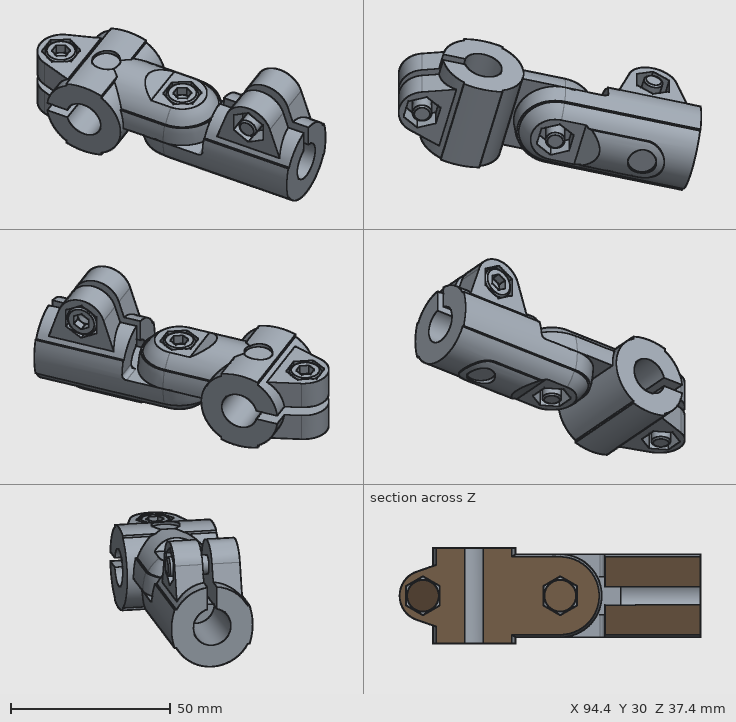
import cadquery as cq
import math


body_radius = 13.0
band_width = 12.5
cross_band_height = 13.2
arm_band_height = 13.0
band_radius = 20.0

bore_diameter = 12.0
clamp_length = 30.0
slit_width = 3.0
flat_height = 10.5
lug_screw_offset = 16.1
lug_tip_radius = 8.0
lug_root_half_width = 11.15
clamp_arm_lug_reach = 23.4
swivel_arm_lug_reach = 24.0

swivel_x = 27.0
swivel_clamp_start = 41.0
swivel_pad_offset = 28.1
tongue_end = 46.0
bar_clamp_x = swivel_clamp_start + clamp_length / 2
corner_radius = 1.5
seat_ramp_distance = 20.0
seat_ramp_angle = 25.5
pad_radius = 13.4
pad_width = 14.0
pad_base_height = 9.4
dimple_diameter = 9.0
dimple_floor = 12.0

shank_diameter = 6.0
head_diameter = 10.0
head_height = 6.0
head_chamfer = 0.6
socket_across_flats = 5.0
socket_depth = 3.0
drill_point_angle = 118
tip_protrusion = 0.9
tip_chamfer = 0.6
pocket_across_flats = 10.5

far = 56.7
hex_corner_ratio = 2 / math.sqrt(3)


def band_edge_height(band_height):
    """Distance from the bar axis to the edges of a band with the given crown height."""
    return band_height - band_radius + math.sqrt(band_radius**2 - (band_width / 2) ** 2)


def banded_bar(start, length, band_height=arm_band_height):
    """Solid bar along X from start, with raised bands on its +Y and -Y sides."""
    half = band_width / 2
    band_edge = band_edge_height(band_height)
    bar = cq.Workplane("YZ", origin=(start, 0, 0)).circle(body_radius).extrude(length)
    bands = (
        cq.Workplane("YZ", origin=(start, 0, 0))
        .moveTo(-band_edge, -half)
        .lineTo(band_edge, -half)
        .threePointArc((band_height, 0), (band_edge, half))
        .lineTo(-band_edge, half)
        .threePointArc((-band_height, 0), (-band_edge, -half))
        .close()
        .extrude(length)
    )
    return bar.union(bands)


def banded_end():
    """Round end about the Z axis: the bar's cross-section revolved."""
    half = band_width / 2
    band_edge = band_edge_height(arm_band_height)
    ball = cq.Workplane("XY").sphere(body_radius)
    band = (
        cq.Workplane("XZ")
        .moveTo(0, -half)
        .lineTo(band_edge, -half)
        .threePointArc((arm_band_height, 0), (band_edge, half))
        .lineTo(0, half)
        .close()
        .revolve(360, (0, 0, 0), (0, 1, 0))
    )
    return ball.union(band)


def screw_cutter():
    """Through hole along Z with a hexagonal pocket at each seat."""
    cutter = cq.Workplane("XY").circle(shank_diameter / 2).extrude(far, both=True)
    for side in (1, -1):
        pocket = (
            cq.Workplane("XY", origin=(0, 0, side * (flat_height - head_height)))
            .polygon(6, pocket_across_flats * hex_corner_ratio)
            .extrude(side * far)
            .rotate((0, 0, 0), (0, 0, 1), 30)
        )
        cutter = cutter.union(pocket)
    return cutter


def screw():
    """Socket-head screw along Z, its head flush with the upper seat."""
    tip_z = -flat_height - tip_protrusion
    head_base = flat_height - head_height
    shank = (
        cq.Workplane("XY", origin=(0, 0, tip_z))
        .circle(shank_diameter / 2)
        .extrude(head_base - tip_z)
        .faces("<Z")
        .chamfer(tip_chamfer)
    )
    head = (
        cq.Workplane("XY", origin=(0, 0, head_base))
        .circle(head_diameter / 2)
        .extrude(head_height)
        .faces(">Z")
        .chamfer(head_chamfer)
    )
    socket_floor = flat_height - socket_depth
    socket = (
        cq.Workplane("XY", origin=(0, 0, socket_floor))
        .polygon(6, socket_across_flats * hex_corner_ratio)
        .extrude(socket_depth)
        .rotate((0, 0, 0), (0, 0, 1), 30)
    )
    point_depth = socket_across_flats / 2 / math.tan(math.radians(drill_point_angle / 2))
    drill_point = cq.Workplane(
        cq.Solid.makeCone(
            socket_across_flats / 2, 0, point_depth, cq.Vector(0, 0, socket_floor), cq.Vector(0, 0, -1)
        )
    )
    return shank.union(head).cut(socket).cut(drill_point)


def lug(reach):
    """Clamping lug growing to +Z from the bar, flat on +Y and -Y, with tapered sides and a round tip."""
    tip_center = reach - lug_tip_radius
    root_z = math.sqrt(body_radius**2 - flat_height**2)
    rise = tip_center - root_z
    root_angle = math.atan2(lug_root_half_width, rise)
    tangent_angle = math.asin(lug_tip_radius / math.hypot(rise, lug_root_half_width))
    taper = root_angle - tangent_angle
    tangent_x = lug_tip_radius * math.cos(taper)
    tangent_z = tip_center + lug_tip_radius * math.sin(taper)
    base_half_width = lug_root_half_width + root_z * math.tan(taper)
    return (
        cq.Workplane("XZ")
        .moveTo(-base_half_width, 0)
        .lineTo(base_half_width, 0)
        .lineTo(tangent_x, tangent_z)
        .threePointArc((0, reach), (-tangent_x, tangent_z))
        .close()
        .extrude(flat_height, both=True)
    )


def clamp_body(lug_reach, band_height):
    """Clamp centred on the origin, bore along X and lug toward +Z, without its openings."""
    return banded_bar(-clamp_length / 2, clamp_length, band_height).union(lug(lug_reach))


def clamp_openings():
    """Bore and slit of a clamp in the same frame as clamp_body."""
    bore = cq.Workplane("YZ").circle(bore_diameter / 2).extrude(clamp_length / 2, both=True)
    slit = cq.Workplane("XY").box(clamp_length, slit_width, far, centered=(True, True, False))
    return bore.union(slit)


def neck(length):
    """Half-round neck above Z = 0, from the origin to a screw seat with a round end at X = length."""
    body = banded_bar(0, length).union(banded_end().translate((length, 0, 0)))
    upper_half = cq.Workplane("XY").box(2 * far, far, far, centered=(True, True, False))
    return body.intersect(upper_half)


def seat_cutter():
    """Space above a screw seat, with the ramp that climbs from it, for a dimple at the origin."""
    slope = math.tan(math.radians(seat_ramp_angle))
    return (
        cq.Workplane("XZ")
        .moveTo(far, flat_height)
        .lineTo(seat_ramp_distance, flat_height)
        .lineTo(seat_ramp_distance - far, flat_height + far * slope)
        .lineTo(far, flat_height + far * slope)
        .close()
        .extrude(far, both=True)
    )


def dimple():
    """Shallow round recess with a flat floor, at the origin."""
    return cq.Workplane("XY", origin=(0, 0, dimple_floor)).circle(dimple_diameter / 2).extrude(far)


cross_clamp_place = cq.Location(cq.Plane((0, 0, 0), xDir=(0, -1, 0), normal=(-1, 0, 0)))
bar_clamp_place = cq.Location(cq.Vector(bar_clamp_x, 0, 0))
cross_screw_place = cq.Location(cq.Vector(-lug_screw_offset, 0, 0))
swivel_screw_place = cq.Location(cq.Vector(swivel_x, 0, 0))
bar_screw_place = cq.Location(
    cq.Plane((bar_clamp_x, 0, lug_screw_offset), xDir=(1, 0, 0), normal=(0, 1, 0))
)
turned_neck_place = cq.Location(
    cq.Plane((swivel_x + swivel_pad_offset, 0, 0), xDir=(-1, 0, 0), normal=(0, 0, -1))
)


def placed(shape, place):
    """Copy of the shape moved from its own frame to the given place."""
    return cq.Workplane(shape.val().moved(place))


def make_clamp_arm():
    arm = placed(clamp_body(clamp_arm_lug_reach, cross_band_height), cross_clamp_place).union(neck(swivel_x))
    arm = arm.cut(seat_cutter()).cut(dimple())
    arm = arm.cut(placed(clamp_openings(), cross_clamp_place))
    return arm.cut(placed(screw_cutter(), cross_screw_place)).cut(placed(screw_cutter(), swivel_screw_place))


def pad():
    """Raised pad on the outside of the swivel arm, in the neck frame, with a round end at the origin."""
    base = cq.Workplane("XY", origin=(0, 0, pad_base_height))
    round_end = base.circle(pad_width / 2).extrude(far)
    straight = base.box(swivel_pad_offset, pad_width, far, centered=(False, True, False))
    outline = round_end.union(straight)
    return cq.Workplane("YZ").circle(pad_radius).extrude(far, both=True).intersect(outline)


def corner_fillet():
    """Concave fillet between the mating plane and the front wall of the swivel arm's clamp."""
    r = corner_radius
    return (
        cq.Workplane("XZ", origin=(swivel_clamp_start, 0, 0))
        .moveTo(0, 0)
        .lineTo(0, r)
        .radiusArc((-r, 0), r)
        .close()
        .extrude(far, both=True)
        .intersect(banded_bar(0, far))
    )


def make_swivel_arm():
    tongue_length = tongue_end - swivel_x
    clamp = placed(clamp_body(swivel_arm_lug_reach, arm_band_height), bar_clamp_place).union(corner_fillet())
    fillet_start = swivel_clamp_start - corner_radius
    run_out = (
        cq.Workplane("YZ", origin=(fillet_start, 0, 0)).circle(bore_diameter / 2).extrude(corner_radius)
    )
    clamp = clamp.union(placed(pad(), turned_neck_place))
    clamp = clamp.cut(placed(clamp_openings(), bar_clamp_place)).cut(run_out)
    tongue = neck(tongue_length).translate((swivel_pad_offset - tongue_length, 0, 0))
    arm = clamp.union(placed(tongue, turned_neck_place))
    arm = arm.cut(placed(seat_cutter(), turned_neck_place)).cut(placed(dimple(), turned_neck_place))
    return arm.cut(placed(screw_cutter(), bar_screw_place)).cut(placed(screw_cutter(), swivel_screw_place))


clamp_arm = make_clamp_arm()
swivel_arm = make_swivel_arm()
screw_places = [cross_screw_place, swivel_screw_place, bar_screw_place]
screws = [placed(screw(), place) for place in screw_places]

result = cq.Compound.makeCompound(
    [clamp_arm.val(), swivel_arm.val(), *[body.val() for body in screws]]
)